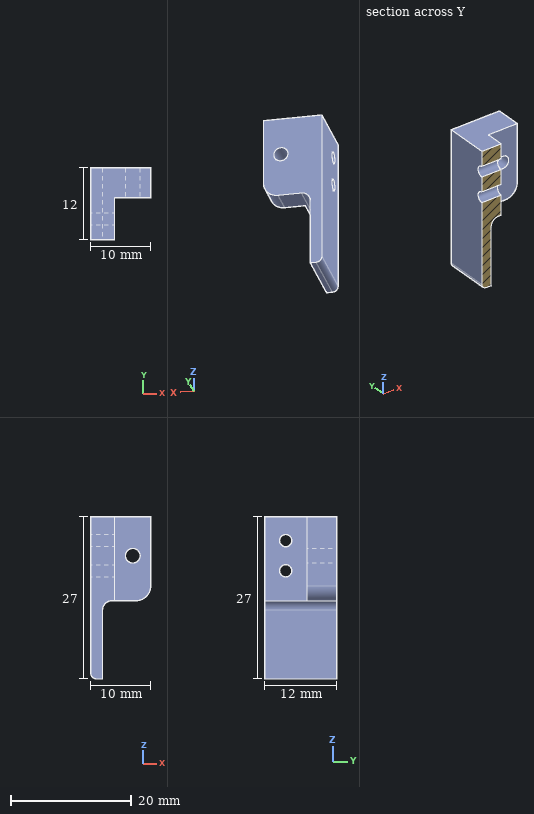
import cadquery as cq

width = 10.0
depth = 12.0
height = 27.0

block_height = 14.0
arm_width = 4.0
flange_depth = 5.0
blade_thickness = 2.0

flange_corner_radius = 2.5
blade_root_radius = 1.5
blade_tip_radius = 1.0

flange_hole_diameter = 2.4
flange_hole_x = 7.0
flange_hole_drop = 6.5

arm_hole_diameter = 2.0
arm_hole_y = 3.5
arm_hole_drops = (4.0, 9.0)

block_bottom = height - block_height


def make_profile_body():
    """Side profile in XZ, extruded over the full depth, with its edges rounded."""
    body = (
        cq.Workplane("XZ")
        .moveTo(0, 0)
        .lineTo(blade_thickness, 0)
        .lineTo(blade_thickness, block_bottom)
        .lineTo(width, block_bottom)
        .lineTo(width, height)
        .lineTo(0, height)
        .close()
        .extrude(-depth)
    )
    rounded_edges = (
        (0, 0, blade_tip_radius),
        (blade_thickness, block_bottom, blade_root_radius),
        (width, block_bottom, flange_corner_radius),
    )
    for x, z, radius in rounded_edges:
        edge_middle = (x, depth / 2, z)
        body = body.edges(cq.selectors.NearestToPointSelector(edge_middle)).fillet(radius)
    return body


def make_corner_notch():
    """Block removed from the -Y, +X corner, leaving the L-shaped plan."""
    return cq.Workplane("XY").box(
        width - arm_width, depth - flange_depth, height, centered=False
    ).translate((arm_width, 0, 0))


def make_flange_hole():
    return (
        cq.Workplane("XZ")
        .center(flange_hole_x, height - flange_hole_drop)
        .circle(flange_hole_diameter / 2)
        .extrude(-depth)
    )


def make_arm_holes():
    """The holes stop at the inner face of the arm."""
    centers = [(arm_hole_y, height - drop) for drop in arm_hole_drops]
    return (
        cq.Workplane("YZ")
        .pushPoints(centers)
        .circle(arm_hole_diameter / 2)
        .extrude(arm_width)
    )


result = (
    make_profile_body()
    .cut(make_corner_notch())
    .cut(make_flange_hole())
    .cut(make_arm_holes())
)